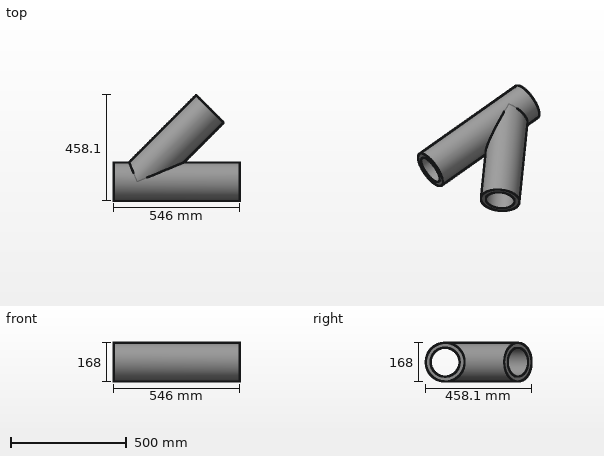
import cadquery as cq

run_length = 546.0
outer_diameter = 168.0
bore_diameter = 124.5
junction_x = 102.0
branch_length = 445.0
branch_angle = 45.0


def run_cylinder(diameter):
    """Cylinder along +X, starting at the inlet end."""
    return cq.Workplane("YZ").circle(diameter / 2).extrude(run_length)


def branch_cylinder(diameter):
    """Cylinder from the junction, turned from +X toward +Y."""
    straight = cq.Workplane("YZ").circle(diameter / 2).extrude(branch_length)
    turned = straight.rotate((0, 0, 0), (0, 0, 1), branch_angle)
    return turned.translate((junction_x, 0, 0))


def joined_pipes(diameter):
    return run_cylinder(diameter).union(branch_cylinder(diameter))


result = joined_pipes(outer_diameter).cut(run_cylinder(bore_diameter)).cut(branch_cylinder(bore_diameter))